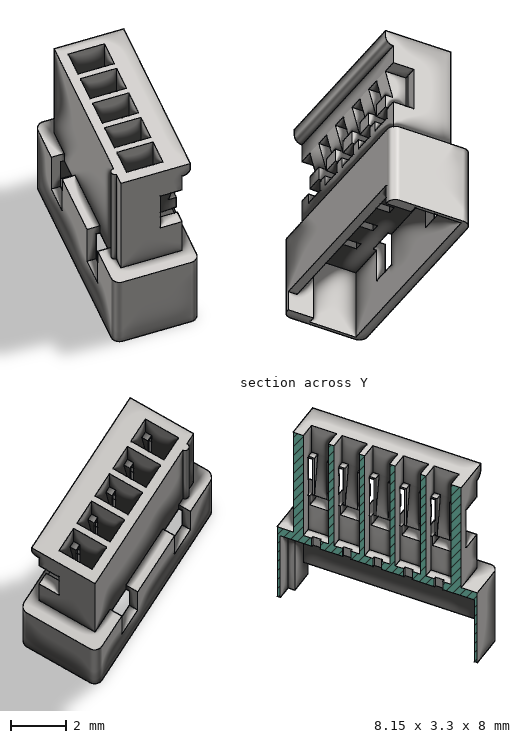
import cadquery as cq


shroud_length = 8.15
shroud_depth = 3.3
shroud_height = 3.3
corner_radius = 0.33
front_wall = 0.36
back_wall = 0.36
end_wall = 0.41
wide_wall = 0.13
wide_back_y = 0.61
slot_width = 1.1
slot_spacing = 3.67
slot_floor_z = 1.53
back_opening_height = 0.815

plug_length = 6.85
plug_front_y = -1.15
plug_back_y = 1.22
plug_bottom_z = 2.9
plug_top_z = 8.0
lip_overhang = 0.32
lip_height = 0.58
ridge_radius = 0.15
ridge_x = 2.82

contact_count = 5
contact_pitch = 1.25
chamber_width = 1.01
chamber_front_y = -0.77
chamber_back_y = 0.635
chamber_floor_z = shroud_height
pin_hole_width = 0.335
pin_hole_front_y = -0.6
pin_hole_back_y = 0.09

window_front_y = 0.375
window_bottom_z = 4.9
window_top_z = 6.67
lance_width = 0.67
ramp_groove_width = 0.5
lance_notch_y = 0.92
lance_notch_z = 5.6
lance_heel_z = 5.06
lance_tip_z = 5.0
shelf_thickness = 0.08
chamber_step_z = window_top_z + shelf_thickness
relief_width = 0.88
relief_floor_z = 4.48

contact_xs = [(i - (contact_count - 1) / 2) * contact_pitch for i in range(contact_count)]


def box(x_min, x_max, y_min, y_max, z_min, z_max):
    size = (x_max - x_min, y_max - y_min, z_max - z_min)
    return cq.Workplane("XY").box(*size, centered=False).translate((x_min, y_min, z_min))


def centred_box(x_centre, width, y_min, y_max, z_min, z_max):
    return box(x_centre - width / 2, x_centre + width / 2, y_min, y_max, z_min, z_max)


def extrude_along_x(sketch, x_centre, width):
    return sketch.extrude(width / 2, both=True).translate((x_centre, 0, 0))


def make_shroud():
    half_depth = shroud_depth / 2
    front_y = -half_depth + front_wall
    body = centred_box(0, shroud_length, -half_depth, half_depth, 0, shroud_height)
    body = body.edges("|Z").fillet(corner_radius)
    wide_length = shroud_length - 2 * wide_wall
    narrow_length = shroud_length - 2 * end_wall
    body = body.cut(centred_box(0, wide_length, front_y, wide_back_y, 0, plug_bottom_z))
    body = body.cut(centred_box(0, narrow_length, front_y, half_depth - back_wall, 0, plug_bottom_z))
    body = body.cut(centred_box(0, narrow_length, 0, half_depth, 0, back_opening_height))
    for side in (-1, 1):
        slot_x = side * slot_spacing / 2
        body = body.cut(
            centred_box(slot_x, slot_width, -half_depth, plug_front_y, slot_floor_z, shroud_height)
        )
    return body


def make_lip():
    """Finger lip along the top back edge, rounded underneath."""
    bottom_z = plug_top_z - lip_height
    profile = (
        cq.Workplane("YZ")
        .moveTo(plug_back_y, plug_top_z)
        .lineTo(plug_back_y + lip_overhang, plug_top_z)
        .lineTo(plug_back_y + lip_overhang, bottom_z + lip_overhang)
        .radiusArc((plug_back_y, bottom_z), lip_overhang)
        .close()
    )
    return extrude_along_x(profile, 0, plug_length)


def make_ridge():
    """Half-round polarising ridge on the front of the plug."""
    return (
        cq.Workplane("XY", origin=(ridge_x, plug_front_y, shroud_height))
        .circle(ridge_radius)
        .extrude(plug_top_z - shroud_height)
    )


def make_lance(x_centre):
    """Lance hanging from the window top, hooked on its back face."""
    profile = cq.Workplane("YZ").polyline([
        (window_front_y, window_top_z),
        (plug_back_y, window_top_z),
        (lance_notch_y, lance_notch_z),
        (plug_back_y, lance_notch_z),
        (plug_back_y, lance_heel_z),
        (window_front_y, lance_tip_z),
    ]).close()
    return extrude_along_x(profile, x_centre, lance_width)


def make_ramp_groove(x_centre):
    """Wedge cut into a lance, sloping from the chamber step down to the lance tip."""
    profile = cq.Workplane("YZ").polyline([
        (chamber_back_y, chamber_step_z),
        (window_front_y, chamber_step_z),
        (window_front_y, lance_tip_z),
    ]).close()
    return extrude_along_x(profile, x_centre, ramp_groove_width)


def make_plug():
    body = centred_box(0, plug_length, plug_front_y, plug_back_y, plug_bottom_z, plug_top_z)
    return body.union(make_lip()).union(make_ridge())


def cut_chambers(body):
    """Contact chambers open at the top, each with a pin hole into the shroud cavity."""
    for x in contact_xs:
        body = body.cut(centred_box(
            x, chamber_width, chamber_front_y, chamber_back_y, chamber_step_z, plug_top_z))
        body = body.cut(centred_box(
            x, chamber_width, chamber_front_y, window_front_y, chamber_floor_z, plug_top_z))
        body = body.cut(centred_box(
            x, pin_hole_width, pin_hole_front_y, pin_hole_back_y, plug_bottom_z, plug_top_z))
    return body


def cut_window(body):
    """Window across the full plug length, with a relief below it behind each chamber."""
    body = body.cut(centred_box(
        0, plug_length, window_front_y, plug_back_y, window_bottom_z, window_top_z))
    for x in contact_xs:
        body = body.cut(centred_box(
            x, relief_width, window_front_y, plug_back_y, relief_floor_z, window_bottom_z))
    return body


def add_lances(body):
    for x in contact_xs:
        body = body.union(make_lance(x)).cut(make_ramp_groove(x))
    return body


connector = make_shroud().union(make_plug())
result = add_lances(cut_window(cut_chambers(connector)))